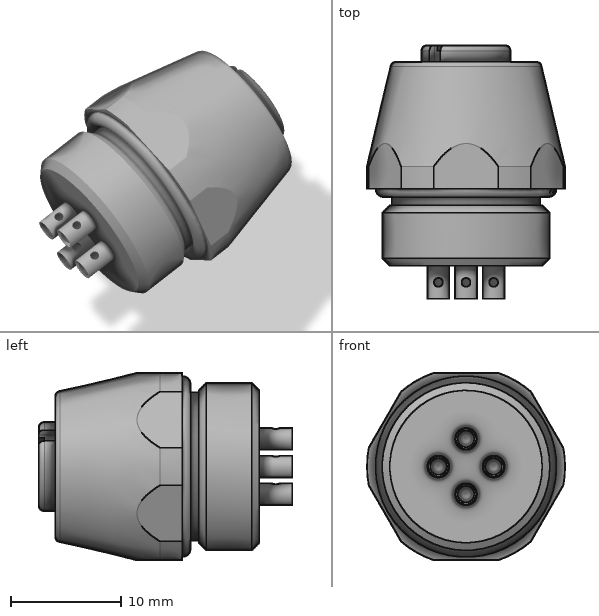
import cadquery as cq
import math


BODY_START = 3.0
BODY_END = 8.49
NUT_START = 9.98
CONE_START = 12.0
SHELL_END = 21.5
NOSE_END = 23.0

BODY_RADIUS = 15.2 / 2
BODY_CHAMFER = 0.7
NECK_RADIUS = 13.5 / 2

RING_OUTER_RADIUS = 8.2
RING_SECTION_RADIUS = 0.75

SHELL_RADIUS = 9.0
SHELL_FRONT_RADIUS = 6.76
SHELL_ROUND = 0.5
ACROSS_FLATS = 17.0
FLAT_COUNT = 6
FLAT_ANGLE = 180 / FLAT_COUNT

NOSE_RADIUS = 4.05
NOSE_ROUND = 0.5
RECESS_RADIUS = 3.1
RECESS_DEPTH = 0.5
KEY_WIDTH = 1.4
KEY_CENTER_RADIUS = 3.35
KEY_ANGLE = 135

CUP_COUNT = 4
CUP_CIRCLE_RADIUS = 2.5
CUP_RADIUS = 2.0 / 2
CUP_BORE_RADIUS = 1.5 / 2
CUP_MOUTH_RADIUS = 0.92
CUP_BORE_DEPTH = 2.3
CUP_TIP_ANGLE = 118
CUP_HOLE_RADIUS = 0.8 / 2
CUP_HOLE_STATION = 1.5


def cylinder(radius, start, end, x=0):
    """Solid cylinder along Y from start to end."""
    return cq.Workplane(
        cq.Solid.makeCylinder(radius, end - start, cq.Vector(x, start, 0), cq.Vector(0, 1, 0))
    )


def make_body():
    """Rear body with two chamfered rims, and the neck that joins it to the shell."""
    return (
        cq.Workplane("XY")
        .moveTo(0, BODY_START)
        .lineTo(BODY_RADIUS - BODY_CHAMFER, BODY_START)
        .lineTo(BODY_RADIUS, BODY_START + BODY_CHAMFER)
        .lineTo(BODY_RADIUS, BODY_END - BODY_CHAMFER)
        .lineTo(BODY_RADIUS - BODY_CHAMFER, BODY_END)
        .lineTo(NECK_RADIUS, BODY_END)
        .lineTo(NECK_RADIUS, NUT_START)
        .lineTo(0, NUT_START)
        .close()
        .revolve(360, (0, 0), (0, 1))
    )


def make_seal_ring():
    """Round seal ring around the neck, half of it sunk into the shell's rear face."""
    return cq.Workplane(
        cq.Solid.makeTorus(
            RING_OUTER_RADIUS - RING_SECTION_RADIUS,
            RING_SECTION_RADIUS,
            cq.Vector(0, NUT_START, 0),
            cq.Vector(0, 1, 0),
        )
    )


def make_shell():
    """Tapered shell, cut by a hexagonal prism with flats facing +Z and -Z."""
    shell = (
        cq.Workplane("XY")
        .moveTo(0, NUT_START)
        .lineTo(SHELL_RADIUS, NUT_START)
        .lineTo(SHELL_RADIUS, CONE_START)
        .lineTo(SHELL_FRONT_RADIUS, SHELL_END)
        .lineTo(0, SHELL_END)
        .close()
        .revolve(360, (0, 0), (0, 1))
        .faces(">Y")
        .edges()
        .fillet(SHELL_ROUND)
    )
    hexagon = (
        cq.Workplane("XZ", origin=(0, NUT_START, 0))
        .polygon(FLAT_COUNT, ACROSS_FLATS, circumscribed=True)
        .extrude(NUT_START - SHELL_END)
        .rotate((0, 0, 0), (0, 1, 0), FLAT_ANGLE)
    )
    return shell.intersect(hexagon)


def make_nose():
    """Rounded plug nose with its end recess and radial key slot."""
    nose = cylinder(NOSE_RADIUS, SHELL_END, NOSE_END).faces(">Y").edges().fillet(NOSE_ROUND)
    recess = cylinder(RECESS_RADIUS, NOSE_END - RECESS_DEPTH, NOSE_END)
    slot_length = NOSE_RADIUS - KEY_CENTER_RADIUS + KEY_WIDTH
    slot_round = cylinder(KEY_WIDTH / 2, SHELL_END, NOSE_END, x=KEY_CENTER_RADIUS)
    slot_walls = cq.Workplane("XY", origin=(KEY_CENTER_RADIUS, SHELL_END, 0)).box(
        slot_length, NOSE_END - SHELL_END, KEY_WIDTH, centered=(False, False, True)
    )
    slot = slot_round.union(slot_walls).rotate((0, 0, 0), (0, -1, 0), KEY_ANGLE)
    return nose.cut(recess).cut(slot)


def make_cup():
    """Solder cup on the Y axis, with a flared conical-bottomed bore and a hole in its +Z wall."""
    flare_depth = CUP_MOUTH_RADIUS - CUP_BORE_RADIUS
    tip_depth = CUP_BORE_RADIUS / math.tan(math.radians(CUP_TIP_ANGLE / 2))
    bore = (
        cq.Workplane("XY")
        .lineTo(CUP_MOUTH_RADIUS, 0)
        .lineTo(CUP_BORE_RADIUS, flare_depth)
        .lineTo(CUP_BORE_RADIUS, CUP_BORE_DEPTH)
        .lineTo(0, CUP_BORE_DEPTH + tip_depth)
        .close()
        .revolve(360, (0, 0), (0, 1))
    )
    side_hole = (
        cq.Workplane("XY", origin=(0, CUP_HOLE_STATION, 0))
        .circle(CUP_HOLE_RADIUS)
        .extrude(CUP_RADIUS)
    )
    return cylinder(CUP_RADIUS, 0, BODY_START).cut(bore).cut(side_hole)


result = make_body().union(make_shell()).union(make_seal_ring()).union(make_nose())
cup = make_cup()
for index in range(CUP_COUNT):
    angle = 2 * math.pi * index / CUP_COUNT
    offset = (CUP_CIRCLE_RADIUS * math.cos(angle), 0, CUP_CIRCLE_RADIUS * math.sin(angle))
    result = result.union(cup.translate(offset))